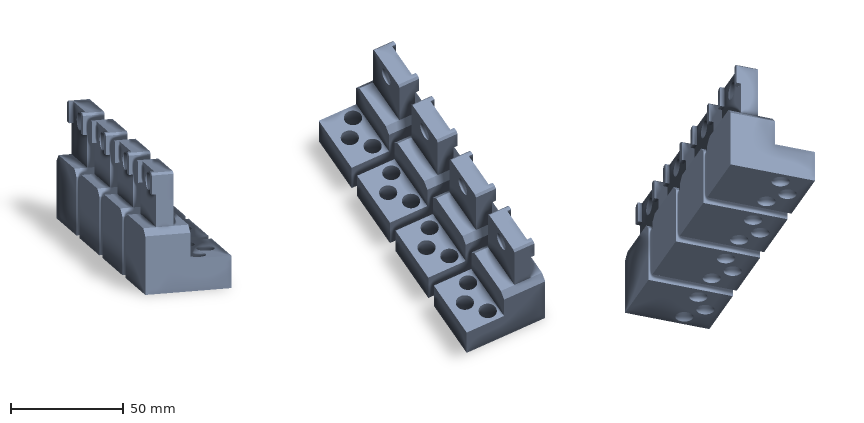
import cadquery as cq

bracket_count = 4
row_length = 135.0
width = 30.0
pitch = (row_length - width) / (bracket_count - 1)

depth = 40.0
foot_height = 15.0
block_depth = 20.9
block_height = 2 * foot_height
block_chamfer = 3.0

total_height = 55.0
tab_width = width - 2 * block_chamfer
tab_height = total_height - block_height
tab_front = 6.0
tab_thickness = 8.1
tab_chamfer = 1.0
lip_width = 3.0
lip_height = 9.9
lip_depth = 2.0

tab_hole_diameter = 8.0
foot_hole_diameter = 8.1
tab_hole_drop = 6.9
foot_hole_spacing = 18.0
front_holes_inset = 14.0
rear_hole_inset = 7.4


def make_stepped_block():
    """Foot and tall block, with the upper side edges of the block chamfered."""
    foot = cq.Workplane("XY").box(width, depth, foot_height, centered=(True, False, False))
    block = (
        cq.Workplane("XY")
        .box(width, block_depth, block_height, centered=(True, False, False))
        .edges("|Y and >Z")
        .chamfer(block_chamfer)
    )
    return foot.union(block)


def make_tab():
    """Upright plate with side lips at its upper front, chamfered along its upper side edges."""
    plate = (
        cq.Workplane("XY")
        .box(tab_width, tab_thickness, tab_height, centered=(True, False, False))
        .translate((0, tab_front, block_height))
    )
    lip_offset = (tab_width - lip_width) / 2
    lips = (
        cq.Workplane("XY")
        .pushPoints([(-lip_offset, 0), (lip_offset, 0)])
        .box(lip_width, lip_depth, lip_height, centered=(True, False, False))
        .translate((0, tab_front - lip_depth, total_height - lip_height))
    )
    return plate.union(lips).edges("|Y and >Z and (<X or >X)").chamfer(tab_chamfer)


def make_foot_holes():
    """Three vertical cutters in a triangle through the foot."""
    front_y = depth - front_holes_inset
    centers = [
        (-foot_hole_spacing / 2, front_y),
        (foot_hole_spacing / 2, front_y),
        (0, depth - rear_hole_inset),
    ]
    return cq.Workplane("XY").pushPoints(centers).circle(foot_hole_diameter / 2).extrude(foot_height)


def make_tab_hole():
    """Horizontal cutter through the tab along Y."""
    return (
        cq.Workplane("XZ")
        .center(0, total_height - tab_hole_drop)
        .circle(tab_hole_diameter / 2)
        .extrude(-depth)
    )


def make_bracket(center_x):
    """One complete bracket centered at the given X."""
    bracket = make_stepped_block().union(make_tab())
    bracket = bracket.cut(make_foot_holes()).cut(make_tab_hole())
    return bracket.translate((center_x, 0, 0))


first_center = -(row_length - width) / 2
brackets = [make_bracket(first_center + i * pitch) for i in range(bracket_count)]

result = cq.Compound.makeCompound([bracket.val() for bracket in brackets])